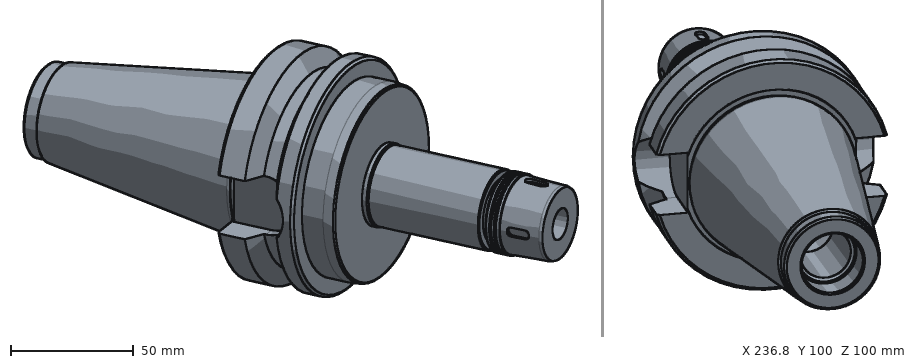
import cadquery as cq
import math


total_length = 236.8
nose_length = 6.5
gauge_x = 101.8
flange_start_x = 104.5
flange_end_x = 140.2
collar_end_x = 154.9
shaft_end_x = 208.5
nut_start_x = 211.0
nut_cone_x = 217.9

gauge_diameter = 69.9
gauge_radius = gauge_diameter / 2
taper_ratio = 7 / 24
nose_radius = 20.1
nose_chamfer = 1.0
taper_edge_chamfer = 0.7
gauge_land_length = 1.5
neck_radius = 34.3
face_recess_radius = 37.2
face_recess_depth = 1.0

flange_radius = 50.0
flange_chamfer = 1.2
groove_floor_radius = 42.2
groove_floor_start_x = 121.7
groove_floor_width = 6.2
groove_side_angle = 30.0
groove_side_run = (flange_radius - groove_floor_radius) * math.tan(math.radians(groove_side_angle))
groove_floor_end_x = groove_floor_start_x + groove_floor_width

slot_width = 26.0
slot_end_x = 135.7
slot_floor_y = 35.3

collar_radius = 42.0
collar_end_radius = 41.5
collar_taper_length = 5.0
collar_chamfer = 0.7

shaft_radius = 17.0
shaft_base_radius = 17.5
shaft_base_length = 2.1
shaft_base_cone_length = 0.7
shaft_end_chamfer = 0.5
undercut_radius = 13.5

nut_radius = 17.0
nut_edge_chamfer = 0.7
nut_groove_starts = (213.1, 215.3)
nut_groove_width = 1.0
nut_groove_depth = 0.7
nut_cone_start_radius = 16.5
nut_cone_end_radius = 15.9
nut_face_length = 1.5
nut_face_radius = 15.5

spanner_slot_count = 4
spanner_slot_start_x = 221.0
spanner_slot_length = 10.0
spanner_slot_width = 4.0
spanner_slot_floor = 15.0

bore_radius = 6.6
entry_radius = 13.5
entry_chamfer = 0.7
counterbore_radius = entry_radius - entry_chamfer
counterbore_depth = 11.4
thread_mouth_radius = 11.95
thread_chamfer_length = 0.7
thread_radius = 10.54
thread_end_x = 42.6
bore_cone_end_x = 44.5


def revolve_about_x(profile_points):
    """Solid of revolution from (x, radius) points, closed along the X axis."""
    first_x = profile_points[0][0]
    last_x = profile_points[-1][0]
    outline = [(first_x, 0), *profile_points, (last_x, 0)]
    return cq.Workplane("XY").polyline(outline).close().revolve(360, (0, 0, 0), (1, 0, 0))


def shank_profile():
    taper_start_x = nose_length + taper_edge_chamfer
    taper_start_radius = gauge_radius - (gauge_x - taper_start_x) * taper_ratio / 2
    neck_start_x = gauge_x + gauge_land_length
    recess_floor_x = flange_start_x + face_recess_depth
    return [
        (0, nose_radius - nose_chamfer),
        (nose_chamfer, nose_radius),
        (nose_length, nose_radius),
        (taper_start_x, taper_start_radius),
        (gauge_x, gauge_radius),
        (neck_start_x, gauge_radius),
        (neck_start_x, neck_radius),
        (recess_floor_x, neck_radius),
        (recess_floor_x, face_recess_radius),
        (flange_start_x, face_recess_radius),
    ]


def flange_profile():
    return [
        (flange_start_x, flange_radius - flange_chamfer),
        (flange_start_x + flange_chamfer, flange_radius),
        (groove_floor_start_x - groove_side_run, flange_radius),
        (groove_floor_start_x, groove_floor_radius),
        (groove_floor_end_x, groove_floor_radius),
        (groove_floor_end_x + groove_side_run, flange_radius),
        (flange_end_x - flange_chamfer, flange_radius),
        (flange_end_x, flange_radius - flange_chamfer),
    ]


def collar_profile():
    return [
        (flange_end_x, collar_radius),
        (collar_end_x - collar_taper_length, collar_radius),
        (collar_end_x - collar_chamfer, collar_end_radius),
        (collar_end_x, collar_end_radius - collar_chamfer),
    ]


def shaft_profile():
    base_end_x = collar_end_x + shaft_base_length
    return [
        (collar_end_x, shaft_base_radius),
        (base_end_x, shaft_base_radius),
        (base_end_x + shaft_base_cone_length, shaft_radius),
        (shaft_end_x - shaft_end_chamfer, shaft_radius),
        (shaft_end_x, shaft_radius - shaft_end_chamfer),
        (shaft_end_x, undercut_radius),
    ]


def nut_profile():
    points = [
        (nut_start_x, undercut_radius),
        (nut_start_x, nut_radius - nut_edge_chamfer),
        (nut_start_x + nut_edge_chamfer, nut_radius),
    ]
    for groove_x in nut_groove_starts:
        points += [
            (groove_x, nut_radius),
            (groove_x, nut_radius - nut_groove_depth),
            (groove_x + nut_groove_width, nut_radius - nut_groove_depth),
            (groove_x + nut_groove_width, nut_radius),
        ]
    points += [
        (nut_cone_x, nut_radius),
        (nut_cone_x, nut_cone_start_radius),
        (total_length - nut_face_length, nut_cone_end_radius),
        (total_length, nut_face_radius),
    ]
    return points


def bore_profile():
    thread_start_x = counterbore_depth + thread_chamfer_length
    return [
        (0, entry_radius),
        (entry_chamfer, counterbore_radius),
        (counterbore_depth, counterbore_radius),
        (counterbore_depth, thread_mouth_radius),
        (thread_start_x, thread_radius),
        (thread_end_x, thread_radius),
        (bore_cone_end_x, bore_radius),
        (total_length, bore_radius),
    ]


def drive_slot(side):
    """Round-ended key slot, open toward the taper, on the +Y (1) or -Y (-1) side."""
    arc_centre_x = slot_end_x - slot_width / 2
    half_width = slot_width / 2
    slot_depth = flange_radius - slot_floor_y
    return (
        cq.Workplane("XZ", origin=(0, side * slot_floor_y, 0))
        .moveTo(flange_start_x, -half_width)
        .lineTo(arc_centre_x, -half_width)
        .threePointArc((slot_end_x, 0), (arc_centre_x, half_width))
        .lineTo(flange_start_x, half_width)
        .close()
        .extrude(-side * slot_depth)
    )


def spanner_slot(angle):
    """Shallow obround pocket in the nut, turned about X by the given angle."""
    slot_centre_x = spanner_slot_start_x + spanner_slot_length / 2
    return (
        cq.Workplane("XY", origin=(slot_centre_x, 0, spanner_slot_floor))
        .slot2D(spanner_slot_length, spanner_slot_width)
        .extrude(nut_radius - spanner_slot_floor)
        .rotate((0, 0, 0), (1, 0, 0), angle)
    )


outer_profile = shank_profile() + flange_profile() + collar_profile() + shaft_profile() + nut_profile()
result = revolve_about_x(outer_profile).cut(revolve_about_x(bore_profile()))

for side in (1, -1):
    result = result.cut(drive_slot(side))

for index in range(spanner_slot_count):
    result = result.cut(spanner_slot(index * 360 / spanner_slot_count))